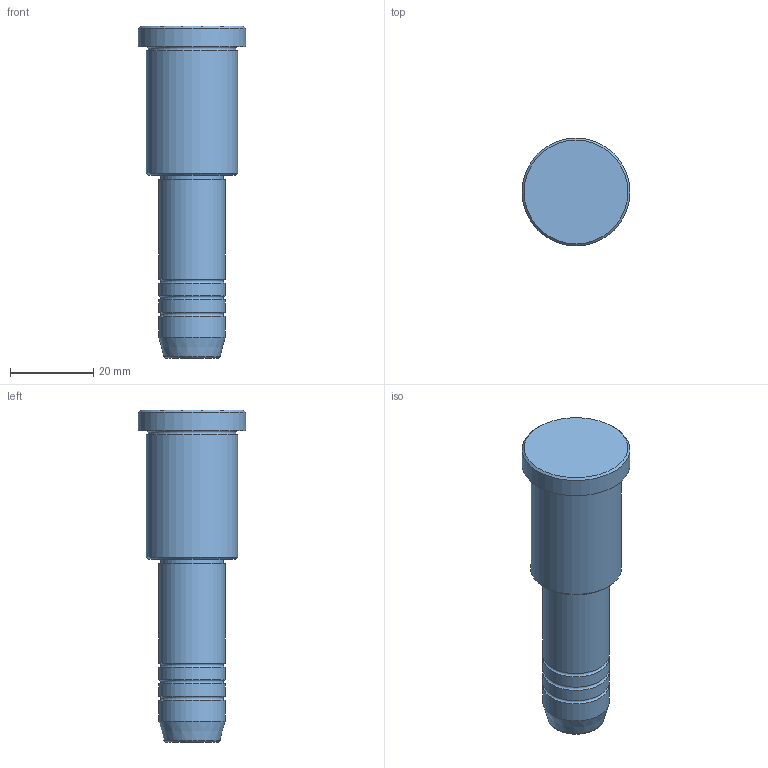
import cadquery as cq
import math

total_length = 80.0
head_length = 5.0
body_end_depth = 36.0
taper_length = 5.0

head_radius = 13.0
body_radius = 11.0
stem_radius = 8.0
taper_angle = 15.0

edge_chamfer = 0.5
tip_fillet = 0.5
relief_width = 1.0
relief_depth = 0.5
groove_radius = 0.5
groove_count = 3
groove_pitch = 4.0
lowest_groove_height = 10.5

head_bottom = total_length - head_length
body_bottom = total_length - body_end_depth
tip_radius = stem_radius - taper_length * math.tan(math.radians(taper_angle))


def cylinder(radius, bottom, top):
    """Solid cylinder on the Z axis between two heights."""
    return cq.Workplane("XY").workplane(offset=bottom).circle(radius).extrude(top - bottom)


def make_head():
    """Head disc with a chamfered top edge."""
    return cylinder(head_radius, head_bottom, total_length).faces(">Z").edges().chamfer(edge_chamfer)


def make_body():
    """Thick shank below the head with a chamfered lower edge."""
    return cylinder(body_radius, body_bottom, head_bottom).faces("<Z").edges().chamfer(edge_chamfer)


def make_stem():
    """Thin shank with a tapered lead-in and a rounded tip."""
    straight = cylinder(stem_radius, taper_length, body_bottom)
    lead_in = (
        cq.Workplane("XY")
        .circle(tip_radius)
        .workplane(offset=taper_length)
        .circle(stem_radius)
        .loft(ruled=True)
    )
    return straight.union(lead_in).faces("<Z").edges().fillet(tip_fillet)


def relief_cutter(shank_radius, shoulder_height):
    """Square ring that undercuts a shank directly below a shoulder."""
    relief_bottom = shoulder_height - relief_width
    outer = cylinder(shank_radius, relief_bottom, shoulder_height)
    core = cylinder(shank_radius - relief_depth, relief_bottom, shoulder_height)
    return outer.cut(core)


def groove_cutter(shank_radius, height):
    """Ring of round section centred on the surface of a shank."""
    return cq.Workplane("XY").add(cq.Solid.makeTorus(shank_radius, groove_radius, cq.Vector(0, 0, height)))


result = make_head().union(make_body()).union(make_stem())
result = result.cut(groove_cutter(body_radius, head_bottom - groove_radius))
result = result.cut(relief_cutter(stem_radius, body_bottom))
for index in range(groove_count):
    result = result.cut(groove_cutter(stem_radius, lowest_groove_height + index * groove_pitch))